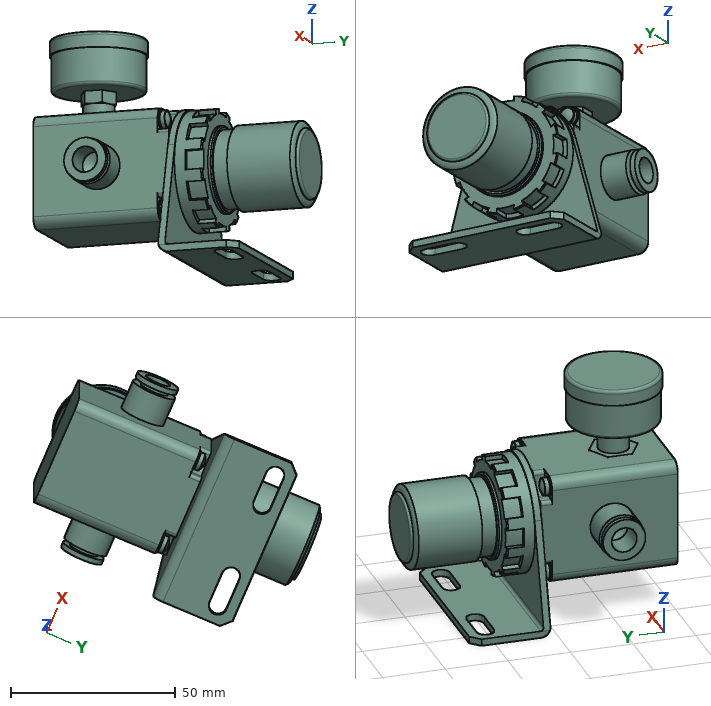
import cadquery as cq
import math


HOUSING_SIDE = 35.0
HOUSING_LENGTH = 43.8
HOUSING_CORNER_RADIUS = 3.5
HALF_SIDE = HOUSING_SIDE / 2

POCKET_DEPTH = 3.7
POCKET_WIDTH_X = 7.4
POCKET_WIDTH_Z = 6.9
POCKET_INNER_RADIUS = 3.5
POCKET_LIP_RADIUS = 1.2

SCREW_INSET = 3.5
SCREW_WASHER_DIAMETER = 6.0
SCREW_WASHER_HEIGHT = 0.5
SCREW_HEAD_DIAMETER = 5.6
SCREW_HEAD_HEIGHT = 1.5
SCREW_DOME_DIAMETER = 5.0
SCREW_DOME_HEIGHT = 0.9

GAUGE_Y = 15.0
GAUGE_TOP_Z = 43.0
RIM_DIAMETER = 30.0
RIM_HEIGHT = 5.0
CASE_DIAMETER = 29.1
CASE_BOTTOM_Z = 26.6
GAUGE_EDGE_RADIUS = 1.0
GAUGE_HEX_WIDTH = 9.75
GAUGE_HEX_BOTTOM_Z = 22.6
GAUGE_HEX_CHAMFER_ANGLE = 20.0
GAUGE_NECK_DIAMETER = 9.75
GAUGE_BASE_HEX_WIDTH = 13.5
GAUGE_BASE_DEPTH = 2.5

FITTING_Y = 21.0
FITTING_END_X = 29.5
FITTING_BODY_DIAMETER = 14.0
FITTING_BODY_LENGTH = 9.0
FITTING_GROOVE_DIAMETER = 9.0
FITTING_COLLAR_DIAMETER = 13.5
FITTING_COLLAR_LENGTH = 1.7
FITTING_BORE_DIAMETER = 8.0
FITTING_BORE_DEPTH = 9.2
BORE_TIP_ANGLE = 118.0

BRACKET_THICKNESS = 2.25
BRACKET_HEAD_RADIUS = 19.1
BRACKET_WIDTH = 55.0
BRACKET_BOTTOM_Z = -30.0
BRACKET_FOOT_END_Y = 69.0
BEND_INNER_RADIUS = 1.0
FOOT_CHAMFER = 3.0
FOOT_SLOT_WIDTH = 5.6
FOOT_SLOT_LENGTH = 15.5
FOOT_SLOT_OUTER_X = 24.7
FOOT_SLOT_Y = 63.0

NUT_DIAMETER = 37.5
NUT_LENGTH = 8.9
NUT_SLOT_COUNT = 12
NUT_SLOT_WIDTH = 6.1
NUT_SLOT_LENGTH = 5.5
NUT_SLOT_FLOOR_RADIUS = 17.25
NUT_EDGE_LENGTH = 0.5
NUT_EDGE_HEIGHT = 0.2

KNOB_END_Y = 83.3
KNOB_FLANGE_DIAMETER = 27.0
KNOB_FLANGE_END_DIAMETER = 25.9
KNOB_FLANGE_EDGE_Y = 55.8
KNOB_FLANGE_END_Y = 56.2
KNOB_NECK_DIAMETER = 24.5
KNOB_GRIP_START_Y = 61.1
KNOB_GRIP_DIAMETER = 26.5
KNOB_GRIP_END_Y = 81.4
KNOB_SHOULDER_RADIUS = 3.0
KNOB_CAP_START_Y = 82.4
KNOB_CAP_DIAMETER = 22.0
KNOB_CAP_EDGE_RADIUS = 0.75

BRACKET_BACK_Y = HOUSING_LENGTH + BRACKET_THICKNESS
NUT_END_Y = BRACKET_BACK_Y + NUT_LENGTH


def y_plane(y):
    """Sketch plane facing +Y, with sketch coordinates (-x, z)."""
    return cq.Workplane(cq.Plane(origin=(0, y, 0), xDir=(-1, 0, 0), normal=(0, 1, 0)))


def z_plane(z, y=0.0):
    """Sketch plane facing +Z, centred on x = 0 and the given y."""
    return cq.Workplane("XY", origin=(0, y, z))


def hexagon(plane, width, height):
    """Hexagonal prism with two of its flats facing -X and +X."""
    across_corners = width / math.cos(math.radians(30))
    return plane.transformed(rotate=(0, 0, 90)).polygon(6, across_corners).extrude(height)


def gauge_base():
    """Hexagonal base of the gauge, flush with the top of the housing."""
    plane = z_plane(HALF_SIDE - GAUGE_BASE_DEPTH, GAUGE_Y)
    return hexagon(plane, GAUGE_BASE_HEX_WIDTH, GAUGE_BASE_DEPTH)


def corner_pocket():
    """Cutter for the pocket at the +X, +Z corner, with rounded lips towards both outer faces."""
    wall_x = HALF_SIDE - POCKET_WIDTH_X
    floor_z = HALF_SIDE - POCKET_WIDTH_Z
    lip = POCKET_LIP_RADIUS
    inner = POCKET_INNER_RADIUS
    section = (
        cq.Workplane("XZ", origin=(0, HOUSING_LENGTH, 0))
        .moveTo(HALF_SIDE, HALF_SIDE)
        .lineTo(wall_x - lip, HALF_SIDE)
        .radiusArc((wall_x, HALF_SIDE - lip), lip)
        .lineTo(wall_x, floor_z + inner)
        .radiusArc((wall_x + inner, floor_z), -inner)
        .lineTo(HALF_SIDE - lip, floor_z)
        .radiusArc((HALF_SIDE, floor_z - lip), lip)
        .close()
    )
    return section.extrude(POCKET_DEPTH)


def screw_head():
    """Domed screw head on its washer, standing on the pocket floor at the +X, +Z corner."""
    washer_top = SCREW_WASHER_HEIGHT
    head_top = washer_top + SCREW_HEAD_HEIGHT
    dome_top = head_top + SCREW_DOME_HEIGHT
    dome_radius = SCREW_DOME_DIAMETER / 2
    sphere_radius = (dome_radius**2 + SCREW_DOME_HEIGHT**2) / (2 * SCREW_DOME_HEIGHT)
    profile = (
        cq.Workplane("XY")
        .lineTo(SCREW_WASHER_DIAMETER / 2, 0)
        .lineTo(SCREW_WASHER_DIAMETER / 2, washer_top)
        .lineTo(SCREW_HEAD_DIAMETER / 2, washer_top)
        .lineTo(SCREW_HEAD_DIAMETER / 2, head_top)
        .lineTo(dome_radius, head_top)
        .radiusArc((0, dome_top), -sphere_radius)
        .close()
    )
    center = HALF_SIDE - SCREW_INSET
    head = profile.revolve(360, (0, 0, 0), (0, 1, 0))
    return head.translate((center, HOUSING_LENGTH - POCKET_DEPTH, center))


def at_four_corners(shape):
    """The shape at the +X, +Z corner together with its mirror images at the other three corners."""
    upper = [shape, shape.mirror("YZ")]
    return upper + [corner.mirror("XY") for corner in upper]


def make_housing():
    housing = y_plane(0).rect(HOUSING_SIDE, HOUSING_SIDE).extrude(HOUSING_LENGTH)
    housing = housing.edges("|Y").fillet(HOUSING_CORNER_RADIUS)
    for pocket in at_four_corners(corner_pocket()):
        housing = housing.cut(pocket)
    for head in at_four_corners(screw_head()):
        housing = housing.union(head)
    return housing.cut(gauge_base())


def gauge_wrench_hex():
    """Wrench hexagon under the gauge case, its lower corners bevelled by a cone."""
    height = CASE_BOTTOM_Z - GAUGE_HEX_BOTTOM_Z
    prism = hexagon(z_plane(GAUGE_HEX_BOTTOM_Z, GAUGE_Y), GAUGE_HEX_WIDTH, height)
    start_radius = GAUGE_HEX_WIDTH / 2
    cone_radius = start_radius + height / math.tan(math.radians(GAUGE_HEX_CHAMFER_ANGLE))
    bottom_center = cq.Vector(0, GAUGE_Y, GAUGE_HEX_BOTTOM_Z)
    cone = cq.Solid.makeCone(start_radius, cone_radius, height, pnt=bottom_center)
    return prism.intersect(cq.Workplane(cone))


def make_gauge():
    rim_bottom = GAUGE_TOP_Z - RIM_HEIGHT
    rim = z_plane(rim_bottom, GAUGE_Y).circle(RIM_DIAMETER / 2).extrude(RIM_HEIGHT)
    rim = rim.faces(">Z").edges().fillet(GAUGE_EDGE_RADIUS)
    case = z_plane(CASE_BOTTOM_Z, GAUGE_Y).circle(CASE_DIAMETER / 2).extrude(rim_bottom - CASE_BOTTOM_Z)
    case = case.faces("<Z").edges().fillet(GAUGE_EDGE_RADIUS)
    neck_height = GAUGE_HEX_BOTTOM_Z - HALF_SIDE
    neck = z_plane(HALF_SIDE, GAUGE_Y).circle(GAUGE_NECK_DIAMETER / 2).extrude(neck_height)
    return rim.union(case).union(gauge_wrench_hex()).union(neck).union(gauge_base())


def make_fitting(side):
    """Push-in fitting on the -X (side = -1) or +X (side = 1) face of the housing."""
    body_end = HALF_SIDE + FITTING_BODY_LENGTH
    collar_start = FITTING_END_X - FITTING_COLLAR_LENGTH
    bore_radius = FITTING_BORE_DIAMETER / 2
    bore_floor = FITTING_END_X - FITTING_BORE_DEPTH
    bore_tip = bore_floor - bore_radius / math.tan(math.radians(BORE_TIP_ANGLE / 2))
    profile = (
        cq.Workplane("XY")
        .moveTo(HALF_SIDE, 0)
        .lineTo(HALF_SIDE, FITTING_BODY_DIAMETER / 2)
        .lineTo(body_end, FITTING_BODY_DIAMETER / 2)
        .lineTo(body_end, FITTING_GROOVE_DIAMETER / 2)
        .lineTo(collar_start, FITTING_GROOVE_DIAMETER / 2)
        .lineTo(collar_start, FITTING_COLLAR_DIAMETER / 2)
        .lineTo(FITTING_END_X, FITTING_COLLAR_DIAMETER / 2)
        .lineTo(FITTING_END_X, bore_radius)
        .lineTo(bore_floor, bore_radius)
        .lineTo(bore_tip, 0)
        .close()
    )
    fitting = profile.revolve(360, (0, 0, 0), (1, 0, 0))
    if side < 0:
        fitting = fitting.mirror("YZ")
    return fitting.translate((0, FITTING_Y, 0))


def bracket_plate():
    """Upright plate: a round head with tangent sides that widen down to the foot."""
    half_width = BRACKET_WIDTH / 2
    foot_top_z = BRACKET_BOTTOM_Z + BRACKET_THICKNESS
    corner_distance = math.hypot(half_width, foot_top_z)
    tangent_angle = math.atan2(foot_top_z, half_width) + math.acos(BRACKET_HEAD_RADIUS / corner_distance)
    tangent_x = BRACKET_HEAD_RADIUS * math.cos(tangent_angle)
    tangent_z = BRACKET_HEAD_RADIUS * math.sin(tangent_angle)
    return (
        y_plane(HOUSING_LENGTH)
        .moveTo(-half_width, BRACKET_BOTTOM_Z)
        .lineTo(half_width, BRACKET_BOTTOM_Z)
        .lineTo(half_width, foot_top_z)
        .lineTo(tangent_x, tangent_z)
        .threePointArc((0, BRACKET_HEAD_RADIUS), (-tangent_x, tangent_z))
        .lineTo(-half_width, foot_top_z)
        .close()
        .extrude(BRACKET_THICKNESS)
    )


def make_bracket():
    foot_length = BRACKET_FOOT_END_Y - HOUSING_LENGTH
    foot = (
        z_plane(BRACKET_BOTTOM_Z, HOUSING_LENGTH + foot_length / 2)
        .rect(BRACKET_WIDTH, foot_length)
        .extrude(BRACKET_THICKNESS)
    )
    foot = foot.edges("|Z and >Y").chamfer(FOOT_CHAMFER)
    slot_x = FOOT_SLOT_OUTER_X - FOOT_SLOT_LENGTH / 2
    slots = (
        z_plane(BRACKET_BOTTOM_Z, FOOT_SLOT_Y)
        .pushPoints([(-slot_x, 0), (slot_x, 0)])
        .slot2D(FOOT_SLOT_LENGTH, FOOT_SLOT_WIDTH)
        .extrude(BRACKET_THICKNESS)
    )
    bracket = bracket_plate().union(foot.cut(slots))
    foot_top_z = BRACKET_BOTTOM_Z + BRACKET_THICKNESS
    inner_bend = cq.selectors.NearestToPointSelector((0, BRACKET_BACK_Y, foot_top_z))
    bracket = bracket.edges(inner_bend).fillet(BEND_INNER_RADIUS)
    outer_bend = cq.selectors.NearestToPointSelector((0, HOUSING_LENGTH, BRACKET_BOTTOM_Z))
    return bracket.edges(outer_bend).fillet(BEND_INNER_RADIUS + BRACKET_THICKNESS)


def nut_slots():
    """Cutters for the grip slots, open towards the knob end of the nut."""
    nut_radius = NUT_DIAMETER / 2
    slot = (
        y_plane(NUT_END_Y - NUT_SLOT_LENGTH)
        .center(0, nut_radius)
        .rect(NUT_SLOT_WIDTH, nut_radius)
        .extrude(NUT_SLOT_LENGTH)
    )
    core = y_plane(NUT_END_Y - NUT_SLOT_LENGTH).circle(NUT_SLOT_FLOOR_RADIUS).extrude(NUT_SLOT_LENGTH)
    slot = slot.cut(core)
    spacing = 360 / NUT_SLOT_COUNT
    return [slot.rotate((0, 0, 0), (0, 1, 0), i * spacing) for i in range(NUT_SLOT_COUNT)]


def make_nut():
    nut = y_plane(BRACKET_BACK_Y).circle(NUT_DIAMETER / 2).extrude(NUT_LENGTH)
    nut = nut.faces(">Y").edges().chamfer(NUT_EDGE_LENGTH, NUT_EDGE_HEIGHT)
    for slot in nut_slots():
        nut = nut.cut(slot)
    return nut


def make_knob():
    cap_radius = KNOB_CAP_DIAMETER / 2
    profile = (
        cq.Workplane("XY")
        .moveTo(0, NUT_END_Y)
        .lineTo(KNOB_FLANGE_DIAMETER / 2, NUT_END_Y)
        .lineTo(KNOB_FLANGE_DIAMETER / 2, KNOB_FLANGE_EDGE_Y)
        .lineTo(KNOB_FLANGE_END_DIAMETER / 2, KNOB_FLANGE_END_Y)
        .lineTo(KNOB_NECK_DIAMETER / 2, KNOB_FLANGE_END_Y)
        .lineTo(KNOB_NECK_DIAMETER / 2, KNOB_GRIP_START_Y)
        .lineTo(KNOB_GRIP_DIAMETER / 2, KNOB_GRIP_START_Y)
        .lineTo(KNOB_GRIP_DIAMETER / 2, KNOB_GRIP_END_Y)
        .radiusArc((cap_radius, KNOB_CAP_START_Y), -KNOB_SHOULDER_RADIUS)
        .lineTo(cap_radius, KNOB_END_Y - KNOB_CAP_EDGE_RADIUS)
        .radiusArc((cap_radius - KNOB_CAP_EDGE_RADIUS, KNOB_END_Y), -KNOB_CAP_EDGE_RADIUS)
        .lineTo(0, KNOB_END_Y)
        .close()
    )
    return profile.revolve(360, (0, 0, 0), (0, 1, 0))


housing = make_housing()
gauge = make_gauge()
fittings = [make_fitting(side) for side in (-1, 1)]
bracket = make_bracket()
nut = make_nut()
knob = make_knob()

bodies = [housing, gauge, *fittings, bracket, nut, knob]
result = cq.Compound.makeCompound([body.solids().val() for body in bodies])